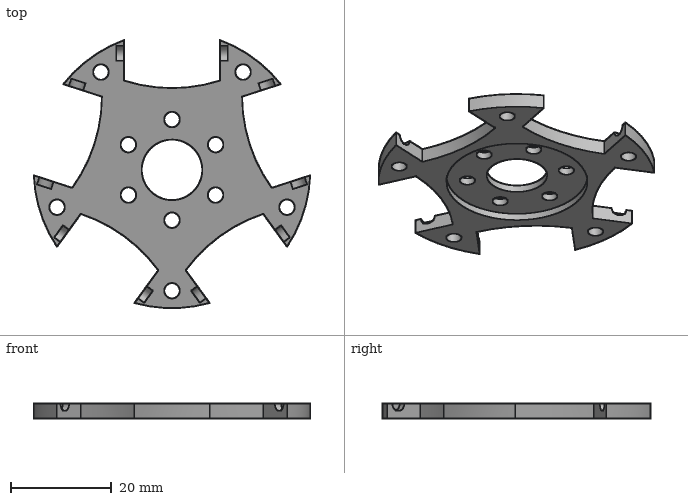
import cadquery as cq
import math

overall_width = 54.95
thickness = 3.0
arm_count = 5
arm_pitch = 360 / arm_count

bore_diameter = 12.0
hole_diameter = 3.0
bolt_count = 6
bolt_circle_radius = 10.0
recess_radius = 14.0
recess_depth = 1.5
arm_hole_radius = 24.0

slot_half_width = 9.5
slot_corner_radius = 17.75
slot_floor_radius = 16.25

notch_radius = 1.5
notch_depth = 1.55
notch_position = 23.15

slot_tilt = math.radians(arm_pitch / 4)
tip_along_slot = (
    overall_width / 2 - slot_half_width * math.sin(slot_tilt)
) / math.cos(slot_tilt)
outer_radius = math.hypot(tip_along_slot, slot_half_width)


def make_slot():
    """Parallel-sided opening along +Y whose floor bulges towards the centre."""
    slot_end = outer_radius + thickness
    return (
        cq.Workplane("XY")
        .moveTo(-slot_half_width, slot_end)
        .lineTo(-slot_half_width, slot_corner_radius)
        .threePointArc((0, slot_floor_radius), (slot_half_width, slot_corner_radius))
        .lineTo(slot_half_width, slot_end)
        .close()
        .extrude(thickness)
    )


def make_notches():
    """Cylinder across the slot, cutting a half-round notch in both walls."""
    half_length = slot_half_width + notch_depth
    return (
        cq.Workplane("YZ")
        .center(notch_position, thickness)
        .circle(notch_radius)
        .extrude(half_length, both=True)
    )


plate = cq.Workplane("XY").circle(outer_radius).extrude(thickness)

slot_cutter = make_slot().union(make_notches())
for index in range(arm_count):
    plate = plate.cut(slot_cutter.rotate((0, 0, 0), (0, 0, 1), index * arm_pitch))

plate = plate.faces("<Z").workplane(origin=(0, 0, 0)).hole(bore_diameter)

plate = plate.cut(cq.Workplane("XY").circle(recess_radius).extrude(recess_depth))

for radius, count in ((bolt_circle_radius, bolt_count), (arm_hole_radius, arm_count)):
    holes = (
        cq.Workplane("XY")
        .polarArray(radius, -90, 360, count)
        .circle(hole_diameter / 2)
        .extrude(thickness)
    )
    plate = plate.cut(holes)

result = plate